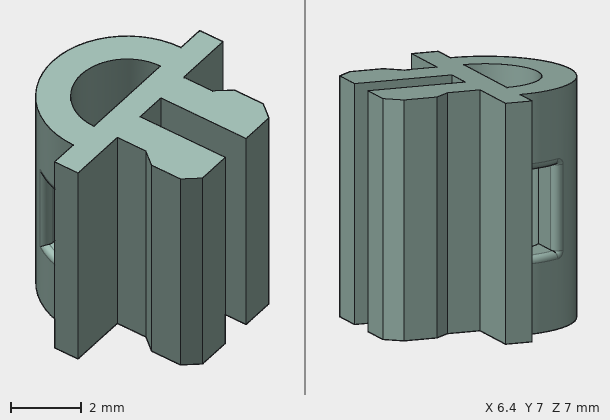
import cadquery as cq

height = 7.0
plate_width = 7.0
plate_thickness = 0.82
ring_outer_radius = 2.6
ring_inner_radius = 1.6
arm_length = 2.98
arm_gap = 1.0
barb_start = 1.0
barb_projection = 0.4
barb_ramp = 0.48
window_height = 2.5
window_depth = 1.2
window_fillet = 0.2

arm_outer_y = ring_inner_radius
barb_y = arm_outer_y + barb_projection
arm_tip_x = plate_thickness + arm_length
barb_start_x = plate_thickness + barb_start


def make_plate():
    return cq.Workplane("XY").box(
        plate_thickness, plate_width, height, centered=(False, True, True)
    )


def make_half_ring():
    """Half tube with a side-to-side window, rounded along its outer rim."""
    ring = (
        cq.Workplane("XY", origin=(0, 0, -height / 2))
        .moveTo(0, ring_outer_radius)
        .threePointArc((-ring_outer_radius, 0), (0, -ring_outer_radius))
        .lineTo(0, -ring_inner_radius)
        .threePointArc((-ring_inner_radius, 0), (0, ring_inner_radius))
        .close()
        .extrude(height)
    )
    window = cq.Workplane("XY").box(
        window_depth, 2 * ring_outer_radius, window_height
    ).translate((-window_depth / 2, 0, 0))
    ring = ring.cut(window)

    wall_middle = (ring_inner_radius + ring_outer_radius) / 2
    rim_half_height = window_height / 2 + window_fillet
    for side in (-1, 1):
        rim = cq.selectors.BoxSelector(
            (-window_depth - window_fillet, side * wall_middle, -rim_half_height),
            (-window_fillet, side * ring_outer_radius, rim_half_height),
        )
        ring = ring.edges(rim).fillet(window_fillet)
    return ring


def make_arm():
    """Snap arm on the +Y side, with its barb facing outward."""
    return (
        cq.Workplane("XY", origin=(0, 0, -height / 2))
        .polyline([
            (plate_thickness, arm_gap / 2),
            (arm_tip_x, arm_gap / 2),
            (arm_tip_x, arm_outer_y),
            (arm_tip_x - barb_ramp, barb_y),
            (barb_start_x + barb_ramp, barb_y),
            (barb_start_x, arm_outer_y),
            (plate_thickness, arm_outer_y),
        ])
        .close()
        .extrude(height)
    )


arm = make_arm()
result = make_plate().union(make_half_ring()).union(arm).union(arm.mirror("XZ"))